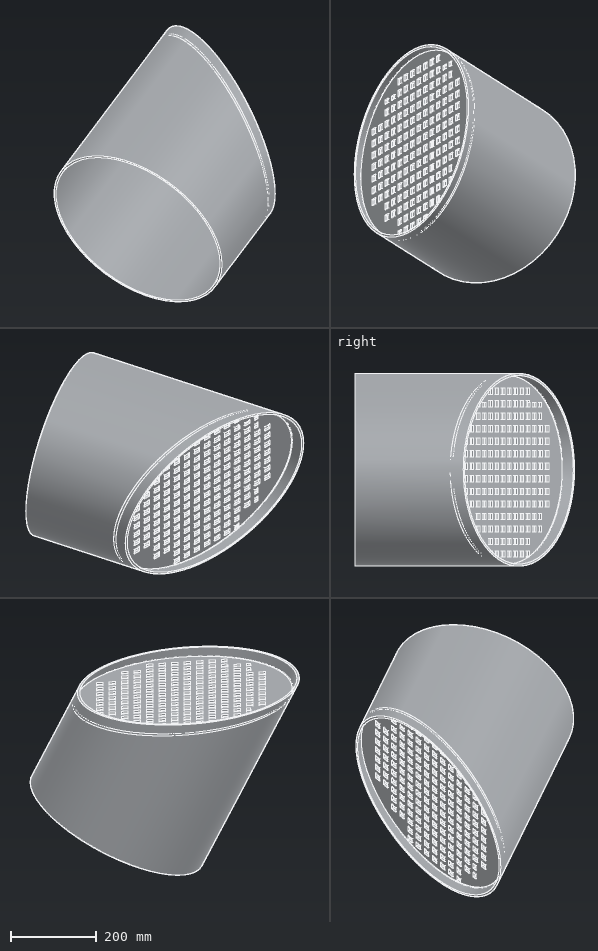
import cadquery as cq
import math

TUBE_LENGTH = 512.5
TUBE_DIAMETER = 450.0
WALL = 5.0
BORE_DIAMETER = TUBE_DIAMETER - 2 * WALL
MITRE_ANGLE = 30.0
FRONT_Y = -TUBE_LENGTH / 2
MITRE_CENTRE_Y = TUBE_LENGTH / 2 - TUBE_DIAMETER / 2 * math.tan(math.radians(MITRE_ANGLE))

GRILLE_DIAMETER = TUBE_DIAMETER - WALL
GRILLE_THICKNESS = 5.0
GRILLE_RECESS = 22.5

HOLE_SIZE = 15.0
HOLE_PITCH = 29.0
GRID_COUNT = 14
GRID_CENTRE_U = 19.0
GRID_CENTRE_Z = -6.5

PERFORATED_WINDOWS = [
    (-88.5, 101.0, -203.0, 190.5),
    (-144.0, 160.5, -154.0, 157.0),
    (-180.0, 216.5, -92.5, 105.0),
]

slope = math.radians(MITRE_ANGLE)
mitre_plane = cq.Plane(
    origin=(0, MITRE_CENTRE_Y, 0),
    xDir=(math.cos(slope), -math.sin(slope), 0),
    normal=(math.sin(slope), math.cos(slope), 0),
)

grille_plane = cq.Plane(
    origin=mitre_plane.toWorldCoords((0, 0, -GRILLE_RECESS)),
    xDir=mitre_plane.xDir,
    normal=mitre_plane.zDir,
)


def round_bar(diameter):
    """Cylinder of the tube's full length along Y."""
    return (
        cq.Workplane("XZ", origin=(0, FRONT_Y, 0))
        .circle(diameter / 2)
        .extrude(-TUBE_LENGTH)
    )


def slab_behind(plane, depth):
    """Slab wider than the tube, reaching from the plane back towards -Y by the given depth."""
    side = 3 * TUBE_LENGTH
    return cq.Workplane(plane).rect(side, side).extrude(-depth)


def make_disc():
    """Grille plate before perforation, its rim parallel to Y."""
    return round_bar(GRILLE_DIAMETER).intersect(slab_behind(grille_plane, GRILLE_THICKNESS))


def make_tube():
    tube = round_bar(TUBE_DIAMETER).cut(round_bar(BORE_DIAMETER))
    mitred_tube = tube.intersect(slab_behind(mitre_plane, 2 * TUBE_LENGTH))
    return mitred_tube.cut(make_disc())


def make_window(u_min, u_max, z_min, z_max):
    """Block through the grille that covers one perforated window."""
    return (
        cq.Workplane(grille_plane)
        .center((u_min + u_max) / 2, -(z_min + z_max) / 2)
        .rect(u_max - u_min, z_max - z_min)
        .extrude(-GRILLE_THICKNESS)
    )


def make_perforations():
    """Square hole cutters, those at the border trimmed to the joined windows."""
    region = make_window(*PERFORATED_WINDOWS[0])
    for window in PERFORATED_WINDOWS[1:]:
        region = region.union(make_window(*window))
    return (
        cq.Workplane(grille_plane)
        .center(GRID_CENTRE_U, -GRID_CENTRE_Z)
        .rarray(HOLE_PITCH, HOLE_PITCH, GRID_COUNT, GRID_COUNT)
        .rect(HOLE_SIZE, HOLE_SIZE)
        .extrude(-GRILLE_THICKNESS)
        .intersect(region)
    )


def make_grille():
    return make_disc().cut(make_perforations())


tube = make_tube()
grille = make_grille()
result = cq.Compound.makeCompound([*tube.solids().vals(), *grille.solids().vals()])